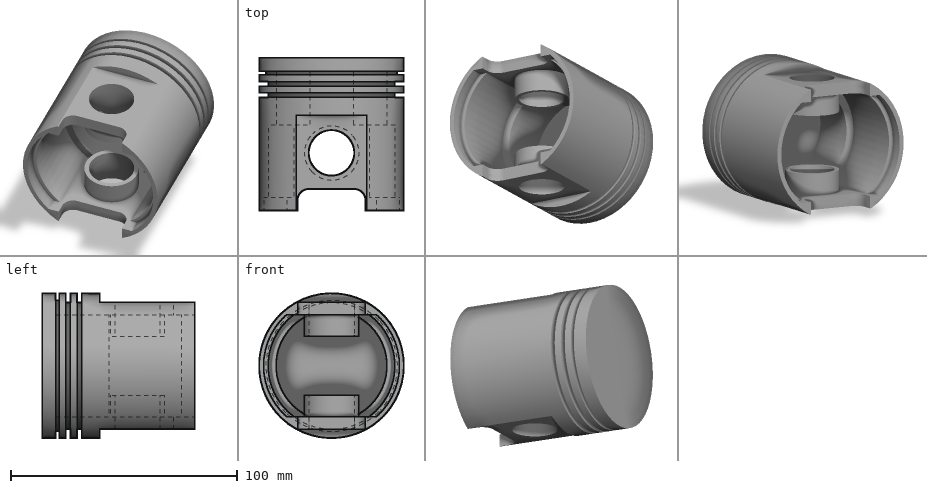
import cadquery as cq


piston_diameter = 64.0
piston_length = 67.5
crown_to_pin = 42.0

top_land = 6.0
top_groove_width = 1.5
lower_groove_width = 2.0
land_width = 3.0
top_groove_diameter = 58.0
lower_groove_diameter = 56.0
second_groove_start = top_land + top_groove_width + land_width
third_groove_start = second_groove_start + lower_groove_width + land_width
ring_grooves = [
    (top_land, top_groove_width, top_groove_diameter),
    (second_groove_start, lower_groove_width, lower_groove_diameter),
    (third_groove_start, lower_groove_width, lower_groove_diameter),
]

crown_thickness = 6.0
head_bore_diameter = 49.0
skirt_bore_start = 29.5
skirt_bore_diameter = 56.0
mouth_diameter = 60.0
mouth_depth = 6.0
inner_flat_spacing = 45.0

outer_flat_spacing = 56.0
flat_start = 25.5

boss_diameter = 24.0
boss_gap = 26.0
pin_diameter = 20.0

slot_width = 30.0
slot_depth = 9.5
slot_corner_radius = 5.0

crown_y = crown_to_pin
rim_y = crown_y - piston_length


def disc(diameter, start, length):
    """Cylinder along the piston axis that starts at a distance below the crown face."""
    plane = cq.Workplane("XZ", origin=(0, crown_y - start, 0))
    return plane.circle(diameter / 2).extrude(length)


def block(size_x, size_z, start, length):
    """Block centred on the piston axis that starts at a distance below the crown face."""
    plane = cq.Workplane("XZ", origin=(0, crown_y - start, 0))
    return plane.rect(size_x, size_z).extrude(length)


def cut_ring_grooves(body):
    for start, width, bottom_diameter in ring_grooves:
        ring = disc(piston_diameter, start, width).cut(disc(bottom_diameter, start, width))
        body = body.cut(ring)
    return body


def make_cavity():
    """Stepped bore, with the skirt part bounded by two inner flats."""
    head_bore = disc(head_bore_diameter, crown_thickness, piston_length - crown_thickness)
    skirt_bore = disc(skirt_bore_diameter, skirt_bore_start, piston_length - skirt_bore_start)
    mouth = disc(mouth_diameter, piston_length - mouth_depth, mouth_depth)
    between_flats = block(piston_diameter, inner_flat_spacing, 0, piston_length)
    return head_bore.union(skirt_bore).union(mouth).intersect(between_flats)


def cut_side_flats(body):
    length = piston_length - flat_start
    outside = block(piston_diameter, piston_diameter, flat_start, length)
    return body.cut(outside.cut(block(piston_diameter, outer_flat_spacing, flat_start, length)))


def add_pin_bosses(body):
    height = (outer_flat_spacing - boss_gap) / 2
    boss = cq.Workplane("XY", origin=(0, 0, boss_gap / 2)).circle(boss_diameter / 2).extrude(height)
    return body.union(boss).union(boss.mirror("XY"))


def cut_pin_hole(body):
    hole = cq.Workplane("XY").circle(pin_diameter / 2).extrude(piston_diameter / 2, both=True)
    return body.cut(hole)


def cut_skirt_slots(body):
    """Round-cornered slot through both side walls, open at the rim."""
    slot = (
        cq.Workplane("XY", origin=(0, rim_y, 0))
        .rect(slot_width, 2 * slot_depth)
        .extrude(piston_diameter / 2, both=True)
        .edges("|Z and >Y")
        .fillet(slot_corner_radius)
    )
    return body.cut(slot)


piston = disc(piston_diameter, 0, piston_length)
piston = cut_ring_grooves(piston)
piston = piston.cut(make_cavity())
piston = cut_side_flats(piston)
piston = add_pin_bosses(piston)
piston = cut_pin_hole(piston)
result = cut_skirt_slots(piston)